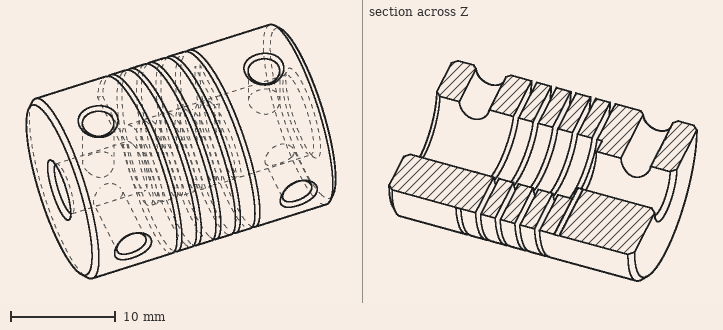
import cadquery as cq
body_diameter = 18.0
body_length = 25.0
small_bore_diameter = 5.0
large_bore_diameter = 8.0
large_bore_depth = 17.0
edge_chamfer = 0.5

screw_diameter = 3.0
screw_chamfer = 0.4
screw_end_distance = 4.0

slot_width = 0.5
slot_pitch = 2.0
slot_turns = 5
slot_start_y = 5.25
slot_overshoot = 0.5

half_length = body_length / 2
body_radius = body_diameter / 2
small_bore_radius = small_bore_diameter / 2
large_bore_radius = large_bore_diameter / 2
bore_step_y = half_length - large_bore_depth
screw_y = half_length - screw_end_distance


def make_cylinder(radius, start_y, end_y):
    """Solid cylinder on the Y axis between two positions."""
    start = cq.Vector(0, start_y, 0)
    return cq.Workplane(cq.Solid.makeCylinder(radius, end_y - start_y, start, cq.Vector(0, 1, 0)))


def make_body():
    """Round bar with the helical slot and the stepped bore, all end rims chamfered."""
    bar = make_cylinder(body_radius, -half_length, half_length)
    large_bore = make_cylinder(large_bore_radius, bore_step_y, half_length)
    small_bore = make_cylinder(small_bore_radius, -half_length, half_length)
    body = bar.cut(make_slot()).cut(large_bore).cut(small_bore)
    for end_face in (">Y", "<Y"):
        body = body.faces(end_face).edges().chamfer(edge_chamfer)
    return body


def make_screw_hole(y, direction):
    """Radial hole from the bore axis out through the outer surface."""
    return cq.Workplane(
        cq.Solid.makeCylinder(screw_diameter / 2, body_radius, cq.Vector(0, y, 0), cq.Vector(*direction))
    )


def screw_mouth_selector(y, direction):
    """Box around the rim where a screw hole meets the outer surface."""
    centre = cq.Vector(0, y, 0) + cq.Vector(*direction) * body_radius
    reach = cq.Vector(1, 1, 1) * (screw_diameter / 2 + screw_chamfer)
    return cq.selectors.BoxSelector(
        (centre - reach).toTuple(), (centre + reach).toTuple(), boundingbox=True
    )


def make_slot():
    """Rectangular section swept along a helix that advances toward -Y."""
    outer_radius = body_radius + slot_overshoot
    inner_radius = small_bore_radius - slot_overshoot
    helix = cq.Wire.makeHelix(slot_pitch, slot_pitch * slot_turns, body_radius)
    section = (
        cq.Workplane("XZ")
        .center((inner_radius + outer_radius) / 2, 0)
        .rect(outer_radius - inner_radius, slot_width)
    )
    swept = section.sweep(cq.Workplane(helix), isFrenet=True)
    turned = swept.rotate((0, 0, 0), (0, 0, 1), 180)
    laid = turned.rotate((0, 0, 0), (1, 0, 0), 90)
    return laid.translate((0, slot_start_y, 0))


result = make_body()
for hole_y in (-screw_y, screw_y):
    for hole_direction in ((0, 0, 1), (1, 0, 0)):
        result = result.cut(make_screw_hole(hole_y, hole_direction))
        result = result.edges(screw_mouth_selector(hole_y, hole_direction)).chamfer(screw_chamfer)